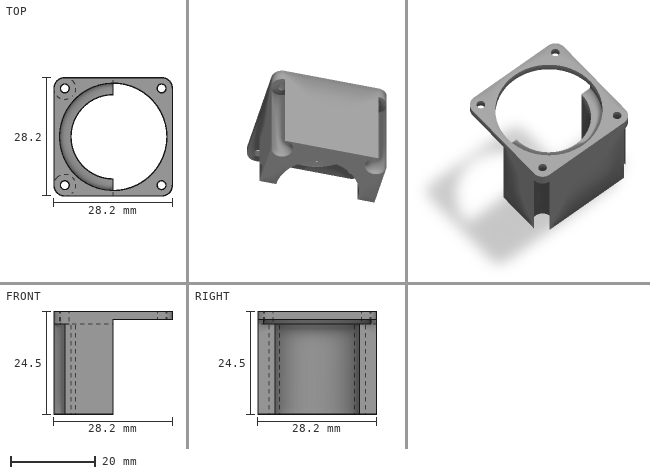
import cadquery as cq

side = 28.2
height = 24.5
plate_thickness = 2.0
upper_bore_diameter = 25.5
lower_bore_diameter = 20.0
ledge_depth = 3.0
screw_hole_diameter = 2.05
screw_pitch = 23.0

corner_radius = (side - screw_pitch) / 2
recess_diameter = 2 * corner_radius
plate_bottom = height - plate_thickness
ledge_height = height - ledge_depth
screw_offset = screw_pitch / 2
screw_points = [(x, y) for x in (-screw_offset, screw_offset) for y in (-screw_offset, screw_offset)]
center_point = [(0, 0)]


def rounded_block(bottom, top):
    """Square block with rounded vertical edges, between two heights."""
    block = cq.Workplane("XY").workplane(offset=bottom).rect(side, side).extrude(top - bottom)
    return block.edges("|Z").fillet(corner_radius)


def cylinders(points, diameter, bottom, top):
    """Upright cylinders of one diameter at the given points, between two heights."""
    plane = cq.Workplane("XY").workplane(offset=bottom)
    return plane.pushPoints(points).circle(diameter / 2).extrude(top - bottom)


def half_body():
    """Full-height half block on the -X side."""
    opposite_half = cq.Workplane("XY").box(side, side, height, centered=(False, True, False))
    return rounded_block(0, height).cut(opposite_half)


result = half_body().union(rounded_block(plate_bottom, height))

result = result.cut(cylinders(center_point, lower_bore_diameter, 0, height))
result = result.cut(cylinders(center_point, upper_bore_diameter, ledge_height, height))

result = result.cut(cylinders(screw_points, screw_hole_diameter, 0, height))
result = result.cut(cylinders(screw_points, recess_diameter, 0, ledge_height))